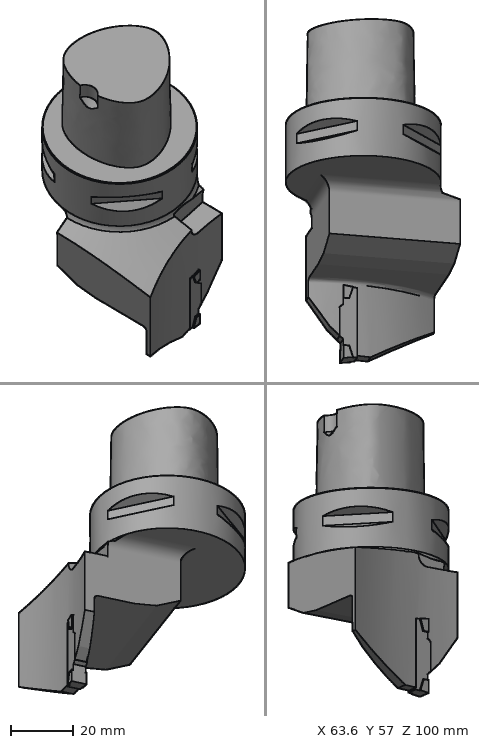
import cadquery as cq
import math


shank_length = 30
lobe_rise = 1.15
shank_base_radius = 17.5
shank_end_radius = 17.1
profile_points = 36

notch_radius = 4.2
notch_axis_y = -17.8
notch_depth = 5.6
notch_tip_height = 3.6

flange_radius = 25
flange_height = 20
rim_chamfer = 0.3
groove_z = -9.7
groove_floor_radius = 22.2
groove_floor_half = 1.6
groove_mouth_half = 3.4
groove_angles = (45, 135, 225, 315)

flange_bottom = -flange_height
arm_front = -32
arm_back = 11.2
arm_outer_x = 38.6
arm_outer_middle = (33.8, -13.4)
arm_outer_back_x = 33.3
arm_left_low = -38.4
arm_bottom = -43.2
underside_bend = (8.3, -42.2)
underside_flat_x = 16
flare = 4.2
neck_radius = 1
shoulder_radius = 32
shoulder_z = -23.2
shoulder_slope = 0.25
reach = 60
pocket_wall_x = 25.3
pocket_wall_y = -3.7
pocket_floor = -27.5
pocket_fillet = -pocket_wall_y

blade_inner_front_x = 36.9
blade_root_fillet = 1.3
blade_inner_middle = (30.6, -17.5)
blade_inner_back_x = 30
blade_tip_y = -9.1
blade_tip_z = -68.8
jaw_tip_z = -62.4
jaw_bend_y = 4.5
jaw_bend_z = -59.2
jaw_back_z = -49.5
blade_front_z = -55.5

insert_top = -45
insert_bottom = -70
insert_mid_z = (insert_top + insert_bottom) / 2
insert_length = insert_top - insert_bottom
insert_base_y = -4.6
insert_waist_y = 1.2
end_relief = 0.6
head_length = 6.5
waist_ramp = 1
insert_left = 28.4
insert_right = 32.7
head_left = 28.1
head_right = 33.3
head_base_y = -3.2
head_edge_length = 4.4
head_corner_y = -1.9


def lobed_profile(height, radius):
    """Closed constant-width outline with three lobes, one of them pointing to +Y."""
    points = []
    for i in range(profile_points):
        angle = 2 * math.pi * i / profile_points
        support = radius - lobe_rise * math.sin(3 * angle)
        slide = -3 * lobe_rise * math.cos(3 * angle)
        points.append((
            support * math.cos(angle) - slide * math.sin(angle),
            support * math.sin(angle) + slide * math.cos(angle),
        ))
    return cq.Workplane("XY").workplane(offset=height).spline(points, periodic=True).close().val()


def make_shank():
    base = lobed_profile(0, shank_base_radius)
    end = lobed_profile(shank_length, shank_end_radius)
    shank = cq.Workplane(cq.Solid.makeLoft([base, end]))
    shoulder = shank_length - notch_depth
    drill = (
        cq.Workplane("XZ")
        .polyline([
            (0, shoulder - notch_tip_height),
            (notch_radius, shoulder),
            (notch_radius, shank_length),
            (0, shank_length),
        ])
        .close()
        .revolve(360, (0, 0), (0, 1))
        .translate((0, notch_axis_y, 0))
    )
    return shank.cut(drill)


def make_flange():
    flange = cq.Workplane("XY").circle(flange_radius).extrude(-flange_height)
    flange = flange.faces(">Z").edges().chamfer(rim_chamfer)
    groove = (
        cq.Workplane("XZ")
        .polyline([
            (groove_floor_radius, groove_z - groove_floor_half),
            (flange_radius, groove_z - groove_mouth_half),
            (flange_radius, groove_z + groove_mouth_half),
            (groove_floor_radius, groove_z + groove_floor_half),
        ])
        .close()
        .extrude(flange_radius, both=True)
    )
    for angle in groove_angles:
        flange = flange.cut(groove.rotate((0, 0, 0), (0, 0, 1), angle))
    return flange


def flare_middle(face, direction):
    """Middle point of the quarter-round flare between a side face and the flange."""
    inset = flare * (1 - math.sqrt(0.5))
    return (face + direction * inset, flange_bottom - inset)


def outer_arc(sketch):
    """Continue from the front outer corner along the hollow outer side to the back."""
    return sketch.threePointArc(arm_outer_middle, (arm_outer_back_x, arm_back))


def make_arm():
    long_section = (
        cq.Workplane("XZ")
        .moveTo(-flare, flange_bottom)
        .threePointArc(flare_middle(0, -1), (0, flange_bottom - flare))
        .lineTo(0, arm_left_low)
        .lineTo(*underside_bend)
        .lineTo(underside_flat_x, arm_bottom)
        .lineTo(reach, arm_bottom)
        .lineTo(reach, flange_bottom)
        .close()
        .extrude(reach, both=True)
    )
    cross_section = (
        cq.Workplane("YZ")
        .moveTo(arm_back + flare, flange_bottom)
        .threePointArc(flare_middle(arm_back, 1), (arm_back, flange_bottom - flare))
        .lineTo(arm_back, arm_bottom)
        .lineTo(arm_front, arm_bottom)
        .lineTo(arm_front, flange_bottom)
        .close()
        .extrude(reach, both=True)
    )
    plan = cq.Workplane("XY").workplane(offset=arm_bottom).moveTo(-flare, arm_front)
    plan = (
        outer_arc(plan.lineTo(arm_outer_x, arm_front))
        .lineTo(arm_outer_back_x, arm_back + flare)
        .lineTo(-flare, arm_back + flare)
        .close()
        .extrude(flange_bottom - arm_bottom)
    )

    def cone_z(radius):
        return shoulder_z - shoulder_slope * (radius - shoulder_radius)

    neck_end = flange_radius + neck_radius
    neck_middle = (
        flange_radius + neck_radius * (1 - math.sqrt(0.5)),
        flange_bottom - neck_radius * math.sqrt(0.5),
    )
    shoulder = (
        cq.Workplane("XZ")
        .moveTo(0, flange_bottom)
        .lineTo(flange_radius, flange_bottom)
        .threePointArc(neck_middle, (neck_end, cone_z(neck_end)))
        .lineTo(reach, cone_z(reach))
        .lineTo(reach, arm_bottom)
        .lineTo(0, arm_bottom)
        .close()
        .revolve(360, (0, 0), (0, 1))
    )
    pocket = (
        cq.Workplane("XY")
        .box(reach, reach, flange_bottom - pocket_floor, centered=False)
        .faces("<Y").edges("<Z").fillet(pocket_fillet)
        .translate((pocket_wall_x, pocket_wall_y, pocket_floor))
    )
    return long_section.intersect(cross_section).intersect(plan).intersect(shoulder).cut(pocket)


def make_blade():
    plan = (
        cq.Workplane("XY")
        .workplane(offset=insert_bottom)
        .moveTo(blade_inner_front_x, arm_front)
        .lineTo(arm_outer_x, arm_front)
    )
    plan = (
        outer_arc(plan)
        .lineTo(blade_inner_back_x, arm_back)
        .threePointArc(blade_inner_middle, (blade_inner_front_x, arm_front))
        .close()
        .extrude(arm_bottom - insert_bottom)
    )
    side = (
        cq.Workplane("YZ")
        .polyline([
            (arm_back, arm_bottom),
            (arm_back, jaw_back_z),
            (jaw_bend_y, jaw_bend_z),
            (insert_waist_y, jaw_tip_z),
            (insert_base_y, jaw_tip_z),
            (insert_base_y, blade_tip_z),
            (blade_tip_y, blade_tip_z),
            (arm_front, blade_front_z),
            (arm_front, arm_bottom),
        ])
        .close()
        .extrude(reach)
    )
    return plan.intersect(side)


def insert_prism(left, right):
    """Side outline of the insert, with a raised waist, extruded along X."""
    waist_top = insert_top - head_length - waist_ramp
    waist_bottom = insert_bottom + head_length + waist_ramp
    return (
        cq.Workplane("YZ")
        .workplane(offset=left)
        .polyline([
            (0, insert_top),
            (0, insert_top - head_length),
            (insert_waist_y, waist_top),
            (insert_waist_y, waist_bottom),
            (0, insert_bottom + head_length),
            (0, insert_bottom),
            (insert_base_y, insert_bottom + end_relief),
            (insert_base_y, insert_top - end_relief),
        ])
        .close()
        .extrude(right - left)
    )


def make_insert():
    insert = insert_prism(insert_left, insert_right)
    relief_at_head = end_relief * head_base_y / insert_base_y
    for side in (1, -1):
        end = insert_mid_z + side * insert_length / 2
        head = (
            cq.Workplane("YZ")
            .workplane(offset=head_left)
            .polyline([
                (0, end),
                (0, end - side * head_edge_length),
                (head_corner_y, end - side * head_edge_length),
                (head_base_y, end - side * relief_at_head),
            ])
            .close()
            .extrude(head_right - head_left)
        )
        insert = insert.union(head)
    return insert


def make_holder():
    holder = make_arm().union(make_blade())
    margin = 0.5
    root_edges = cq.selectors.BoxSelector(
        (insert_left - margin, arm_front - margin, arm_bottom - margin),
        (blade_inner_front_x, arm_back + margin, arm_bottom + margin),
    )
    holder = holder.edges(root_edges).edges("%CIRCLE").fillet(blade_root_fillet)
    holder = holder.union(make_flange()).union(make_shank())
    return holder.cut(insert_prism(pocket_wall_x, arm_outer_x))


holder = make_holder()
cutting_insert = make_insert()
result = cq.Compound.makeCompound([holder.val(), cutting_insert.val()])